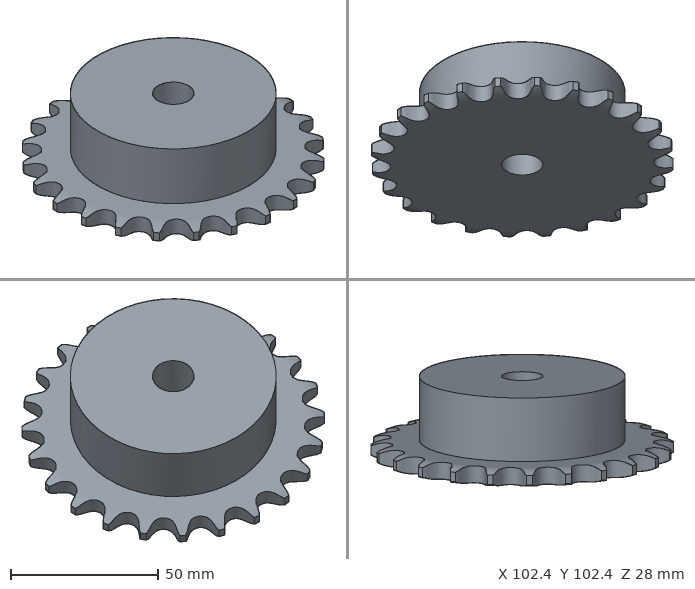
import cadquery as cq
import math

tooth_count = 24
chain_pitch = 12.7
roller_diameter = 7.7
outside_radius = 51.5
plate_thickness = 5.9
total_height = 28.0
hub_diameter = 70.0
bore_diameter = 14.0
tooth_side_radius = 13.0
tooth_side_relief = 1.3

tooth_angle = 360 / tooth_count
pitch_radius = chain_pitch / 2 / math.sin(math.pi / tooth_count)

seating_radius = 0.5025 * roller_diameter
working_radius = 1.3025 * roller_diameter
seating_slope = math.radians(35 + 60 / tooth_count)
working_angle = math.radians(18 - 56 / tooth_count)
topping_angle = math.radians(17 - 64 / tooth_count)
flank_slope = seating_slope - working_angle
flank_length = roller_diameter * (1.4 * math.sin(topping_angle) - 0.8 * math.sin(working_angle))
topping_radius = roller_diameter * (
    0.8 * math.cos(working_angle) + 1.4 * math.cos(topping_angle) - 1.3025
)
tip_slope = math.radians(50)


def curve_point(start, radius, start_slope, end_slope):
    """Point reached from start along an arc whose slope changes between two angles."""
    return (
        start[0] + radius * abs(math.cos(start_slope) - math.cos(end_slope)),
        start[1] + radius * abs(math.sin(end_slope) - math.sin(start_slope)),
    )


def mirrored(point):
    return (-point[0], point[1])


def tooth_gap():
    """Cutter for one gap, symmetric about the +Y axis."""
    root = (0, pitch_radius - seating_radius)
    seat_end = (
        seating_radius * math.cos(seating_slope),
        pitch_radius - seating_radius * math.sin(seating_slope),
    )
    working_mid = curve_point(seat_end, working_radius, seating_slope, seating_slope - working_angle / 2)
    working_end = curve_point(seat_end, working_radius, seating_slope, flank_slope)
    flank_end = (
        working_end[0] + flank_length * math.sin(flank_slope),
        working_end[1] + flank_length * math.cos(flank_slope),
    )
    topping_mid = curve_point(flank_end, topping_radius, flank_slope, (flank_slope + tip_slope) / 2)
    topping_end = curve_point(flank_end, topping_radius, flank_slope, tip_slope)
    return (
        cq.Workplane("XY")
        .moveTo(*mirrored(seat_end))
        .threePointArc(root, seat_end)
        .threePointArc(working_mid, working_end)
        .lineTo(*flank_end)
        .threePointArc(topping_mid, topping_end)
        .lineTo(*mirrored(topping_end))
        .threePointArc(mirrored(topping_mid), mirrored(flank_end))
        .lineTo(*mirrored(working_end))
        .threePointArc(mirrored(working_mid), mirrored(seat_end))
        .close()
        .extrude(plate_thickness)
    )


def plate_blank():
    """Round plate whose rim curves in on both sides, tangent to the flat faces."""
    side_angle = math.acos(1 - tooth_side_relief / tooth_side_radius)
    flat_radius = outside_radius - tooth_side_radius * math.sin(side_angle)
    mid_radius = flat_radius + tooth_side_radius * math.sin(side_angle / 2)
    mid_relief = tooth_side_radius * (1 - math.cos(side_angle / 2))
    return (
        cq.Workplane("XZ")
        .lineTo(flat_radius, 0)
        .threePointArc((mid_radius, mid_relief), (outside_radius, tooth_side_relief))
        .lineTo(outside_radius, plate_thickness - tooth_side_relief)
        .threePointArc((mid_radius, plate_thickness - mid_relief), (flat_radius, plate_thickness))
        .lineTo(0, plate_thickness)
        .close()
        .revolve(360, (0, 0), (0, 1))
    )


sprocket = plate_blank()
gap = tooth_gap()
for index in range(tooth_count):
    sprocket = sprocket.cut(gap.rotate((0, 0, 0), (0, 0, 1), index * tooth_angle))

hub = cq.Workplane("XY").circle(hub_diameter / 2).extrude(total_height)
bore = cq.Workplane("XY").circle(bore_diameter / 2).extrude(total_height)
result = sprocket.union(hub).cut(bore)